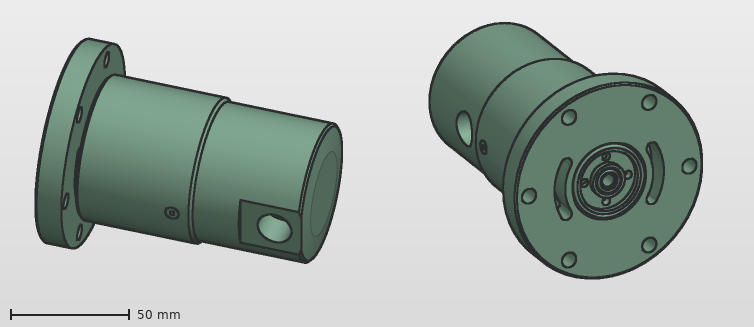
import cadquery as cq
import math

length = 114.5
rotor_face = 0.8
flange_front = 0.7
flange_thickness = 11.8
flange_back = flange_front + flange_thickness
neck_step = 12.8
barrel_front = 14.4
barrel_end = 66.0
rear_edge = 113.3

flange_dia = 88.0
flange_chamfer = 0.8
neck_front_dia = 42.8
neck_step_dia = 41.0
neck_rear_dia = 38.2
barrel_dia = 62.8
barrel_front_chamfer = 1.1
housing_dia = 60.0
rear_chamfer = 1.0
rear_face_dia = 36.6

flange_bore_dia = 34.5
seal_gap_depth = 1.1
rim_inner_dia = 29.8
rim_radius = rotor_face
recess_dia = 26.9
recess_depth = 2.7
hub_dia = 15.0
hub_groove_dia = 11.9
hub_groove_depth = 0.6
lip_inner_dia = 7.9
lip_radius = 0.7

bore_step_dia = 7.0
bore_step_depth = 0.9
pilot_dia = 5.7
pilot_depth = 13.7
drill_point_height = 1.7

bolt_count = 6
bolt_dia = 6.6
bolt_circle_radius = 37.5
rotor_hole_count = 4
rotor_hole_dia = 3.5
rotor_hole_radius = 10.2
rotor_hole_depth = 3.4
rotor_hole_shift = 0.8
slot_width = 5.0
slot_radius = 23.1
slot_half_angle = 30.0

port_dia = 15.0
front_port_x = 101.5
rear_port_x = 78.6
core_dia = 29.8
flat_start = 86.4
flat_distance = 27.6

pip_x = 57.3
spot_dia = 6.0
spot_distance = 31.2
pip_radius = 1.1
pip_height = 0.3


def x_rod(diameter, start, end, y=0.0, z=0.0):
    """Round bar parallel to the X axis."""
    return cq.Workplane(cq.Solid.makeCylinder(
        diameter / 2, end - start, cq.Vector(start, y, z), cq.Vector(1, 0, 0)))


def turned_body():
    """Whole round shape turned about the X axis, from the bore bottom out to the rear end."""
    recess_floor = rotor_face + recess_depth
    pilot_end = rotor_face + pilot_depth
    lip_inner = lip_inner_dia / 2
    lip_outer = lip_inner + 2 * lip_radius
    groove_floor = rotor_face + hub_groove_depth
    rim_inner = rim_inner_dia / 2
    rim_outer = rim_inner + 2 * rim_radius
    gap_floor = rotor_face + seal_gap_depth
    shoulder = (barrel_dia - housing_dia) / 2

    bore_and_lip = (
        cq.Workplane("XY")
        .moveTo(pilot_end + drill_point_height, 0)
        .lineTo(pilot_end, pilot_dia / 2)
        .lineTo(rotor_face + bore_step_depth, pilot_dia / 2)
        .lineTo(rotor_face + bore_step_depth, bore_step_dia / 2)
        .lineTo(rotor_face, lip_inner)
        .threePointArc((rotor_face - lip_radius, lip_inner + lip_radius), (rotor_face, lip_outer))
        .lineTo(groove_floor, lip_outer)
        .lineTo(groove_floor, hub_groove_dia / 2)
        .lineTo(rotor_face, hub_groove_dia / 2)
        .lineTo(rotor_face, hub_dia / 2)
    )
    recess_and_rim = (
        bore_and_lip
        .lineTo(recess_floor, hub_dia / 2)
        .lineTo(recess_floor, recess_dia / 2)
        .lineTo(rotor_face, recess_dia / 2)
        .lineTo(rotor_face, rim_inner)
        .threePointArc((rotor_face - rim_radius, rim_inner + rim_radius), (rotor_face, rim_outer))
        .lineTo(gap_floor, rim_outer)
        .lineTo(gap_floor, flange_bore_dia / 2)
        .lineTo(flange_front, flange_bore_dia / 2)
    )
    flange_and_neck = (
        recess_and_rim
        .lineTo(flange_front, flange_dia / 2 - flange_chamfer)
        .lineTo(flange_front + flange_chamfer, flange_dia / 2)
        .lineTo(flange_back, flange_dia / 2)
        .lineTo(flange_back, neck_front_dia / 2)
        .lineTo(neck_step, neck_step_dia / 2)
        .lineTo(barrel_front, neck_rear_dia / 2)
    )
    outline = (
        flange_and_neck
        .lineTo(barrel_front, barrel_dia / 2 - barrel_front_chamfer)
        .lineTo(barrel_front + barrel_front_chamfer, barrel_dia / 2)
        .lineTo(barrel_end - shoulder, barrel_dia / 2)
        .lineTo(barrel_end, housing_dia / 2)
        .lineTo(rear_edge - rear_chamfer, housing_dia / 2)
        .lineTo(rear_edge, housing_dia / 2 - rear_chamfer)
        .lineTo(length, rear_face_dia / 2)
        .lineTo(length, 0)
        .close()
    )
    return outline.revolve(360, (0, 0), (1, 0))


def rotor_hole():
    """Blind hole in the recess floor above the axis, leaning toward the axis as it deepens."""
    mouth = cq.Wire.makeCircle(
        rotor_hole_dia / 2,
        cq.Vector(rotor_face + recess_depth, 0, rotor_hole_radius),
        cq.Vector(1, 0, 0),
    )
    slant = cq.Vector(rotor_hole_depth, 0, -rotor_hole_shift)
    return cq.Workplane(cq.Solid.extrudeLinear(mouth, [], slant))


def arc_slot():
    """Curved slot through the flange, centred on the +Y side."""
    outer = slot_radius + slot_width / 2
    inner = slot_radius - slot_width / 2
    angle = math.radians(slot_half_angle)

    def at(radius, sign):
        return (radius * math.cos(angle), sign * radius * math.sin(angle))

    cap = slot_width / 2
    cap_side = (slot_radius * math.cos(angle) - cap * math.sin(angle),
                slot_radius * math.sin(angle) + cap * math.cos(angle))
    return (
        cq.Workplane("YZ", origin=(flange_front, 0, 0))
        .moveTo(*at(outer, -1))
        .threePointArc((outer, 0), at(outer, 1))
        .threePointArc(cap_side, at(inner, 1))
        .threePointArc((inner, 0), at(inner, -1))
        .threePointArc((cap_side[0], -cap_side[1]), at(outer, -1))
        .close()
        .extrude(barrel_front - flange_front)
    )


def port(x, side):
    """Radial port on the -Y (side = -1) or +Y (side = 1) side, ending on the round core."""
    drill = cq.Solid.makeCylinder(
        port_dia / 2, housing_dia / 2, cq.Vector(x, 0, 0), cq.Vector(0, side, 0))
    return cq.Workplane(drill).cut(x_rod(core_dia, x - port_dia, x + port_dia))


def spot_face(side):
    """Shallow round cut that leaves a flat seat on the barrel."""
    return cq.Workplane(cq.Solid.makeCylinder(
        spot_dia / 2, barrel_dia / 2, cq.Vector(pip_x, side * spot_distance, 0), cq.Vector(0, side, 0)))


def pip(side):
    """Small ball sunk in the spot face, its top standing just proud of the barrel."""
    center = cq.Vector(pip_x, side * (barrel_dia / 2 + pip_height - pip_radius), 0)
    return cq.Workplane("XY").sphere(pip_radius).translate(center)


body = turned_body()

for i in range(bolt_count):
    angle = 2 * math.pi * i / bolt_count
    body = body.cut(x_rod(bolt_dia, flange_front, flange_back,
                          bolt_circle_radius * math.cos(angle), bolt_circle_radius * math.sin(angle)))
for i in range(rotor_hole_count):
    body = body.cut(rotor_hole().rotate((0, 0, 0), (1, 0, 0), 360 * i / rotor_hole_count))
for turn in (0, 180):
    body = body.cut(arc_slot().rotate((0, 0, 0), (1, 0, 0), turn))

flat = cq.Workplane("XY").box(
    length - flat_start, housing_dia, housing_dia, centered=(False, False, True))
body = body.cut(flat.translate((flat_start, -flat_distance - housing_dia, 0)))
body = body.cut(port(front_port_x, -1))
body = body.cut(port(rear_port_x, 1))

for side in (-1, 1):
    body = body.cut(spot_face(side))
    body = body.union(pip(side))

result = body